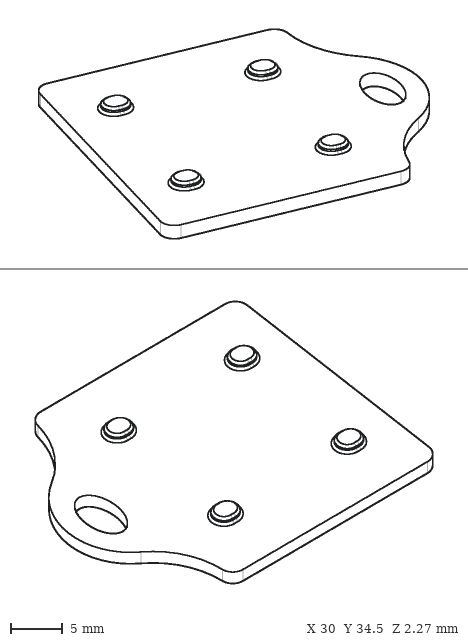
import cadquery as cq
import math

plate_width = 30.0
overall_length = 34.55
plate_thickness = 1.52
corner_radius = 1.52

head_radius = 7.95
flank_radius = 10.02
hole_width = 6.43
hole_height = 3.87
hole_center_y = 30.4

pin_radius = 1.28
pin_straight = 0.4
pin_height = 0.75
pin_chamfer = 0.28
pin_root_chamfer = 0.28
pin_spacing = 15.82
first_pin_row_y = 5.45

half_width = plate_width / 2
head_center_y = overall_length - head_radius

flank_center_y = head_center_y + flank_radius
flank_center_x = math.sqrt((head_radius + flank_radius) ** 2 - flank_radius ** 2)

corner_center_x = half_width - corner_radius
corner_to_flank = flank_radius + corner_radius
corner_center_y = flank_center_y - math.sqrt(
    corner_to_flank ** 2 - (flank_center_x - corner_center_x) ** 2
)

head_end_angle = math.atan2(flank_center_y - head_center_y, flank_center_x)
corner_end_angle = math.atan2(flank_center_y - corner_center_y, flank_center_x - corner_center_x)


def on_circle(center_x, center_y, radius, angle):
    """Point on a circle at the given angle from +X."""
    return (center_x + radius * math.cos(angle), center_y + radius * math.sin(angle))


def mirrored(point):
    """The same point on the -X side of the plate."""
    return (-point[0], point[1])


def make_plate():
    side_top = (half_width, corner_center_y)
    corner_mid = on_circle(corner_center_x, corner_center_y, corner_radius, corner_end_angle / 2)
    corner_end = on_circle(corner_center_x, corner_center_y, corner_radius, corner_end_angle)
    flank_mid_angle = math.pi + (head_end_angle + corner_end_angle) / 2
    flank_mid = on_circle(flank_center_x, flank_center_y, flank_radius, flank_mid_angle)
    head_end = on_circle(0, head_center_y, head_radius, head_end_angle)

    outline = (
        cq.Workplane("XY")
        .moveTo(-half_width, 0)
        .lineTo(half_width, 0)
        .lineTo(*side_top)
        .threePointArc(corner_mid, corner_end)
        .threePointArc(flank_mid, head_end)
        .threePointArc((0, overall_length), mirrored(head_end))
        .threePointArc(mirrored(flank_mid), mirrored(corner_end))
        .threePointArc(mirrored(corner_mid), mirrored(side_top))
        .close()
    )
    plate = outline.extrude(plate_thickness)
    return plate.edges("|Z and <Y").fillet(corner_radius)


def cut_hanging_hole(body):
    hole = (
        cq.Workplane("XY")
        .center(0, hole_center_y)
        .ellipse(hole_width / 2, hole_height / 2)
        .extrude(plate_thickness)
    )
    return body.cut(hole)


def add_pins(body):
    pin_places = [
        (x, y)
        for x in (-pin_spacing / 2, pin_spacing / 2)
        for y in (first_pin_row_y, first_pin_row_y + pin_spacing)
    ]
    pins = (
        cq.Workplane("XY")
        .workplane(offset=plate_thickness)
        .pushPoints(pin_places)
        .slot2D(2 * pin_radius + pin_straight, 2 * pin_radius, 90)
        .extrude(pin_height)
        .faces(">Z")
        .edges()
        .chamfer(pin_chamfer)
    )
    body = body.union(pins)
    margin = 2 * pin_radius
    reach_x = pin_spacing / 2 + margin
    root_edges = cq.selectors.BoxSelector(
        (-reach_x, first_pin_row_y - margin, plate_thickness - pin_root_chamfer / 2),
        (reach_x, first_pin_row_y + pin_spacing + margin, plate_thickness + pin_root_chamfer / 2),
    )
    return body.edges(root_edges).chamfer(pin_root_chamfer)


result = add_pins(cut_hanging_hole(make_plate()))